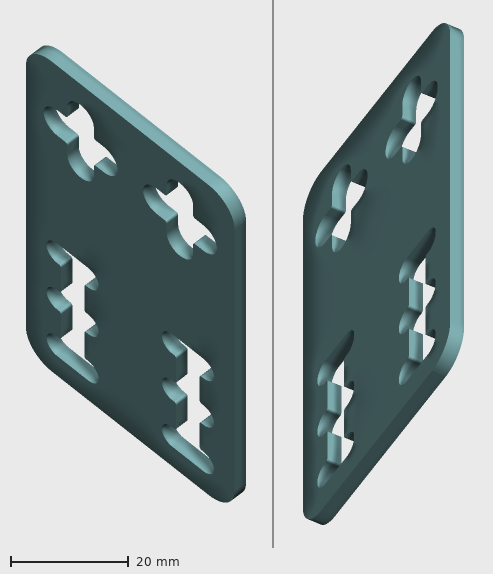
import cadquery as cq

plate_width = 50.8
plate_thickness = 2.7
plate_height = 82.55
plate_corner_radius = 6.3

cross_spacing = 24.2
cross_from_top = 15.2
cross_arm_length = 18.0
cross_arm_height = 6.8
cross_upright_length = 19.3
cross_upright_width = 6.4

ladder_spacing = 28.1
rung_count = 3
rung_pitch = 12.4
rung_length = 12.7
rung_height = 5.2
lowest_rung_from_bottom = 7.85
neck_width = 5.7

inner_corner_radius = 0.5

cross_z = plate_height / 2 - cross_from_top
ladder_z = -plate_height / 2 + lowest_rung_from_bottom + rung_pitch * (rung_count - 1) / 2
corner_search_size = 0.1


def slot_block(length, width, z=0.0, angle=0.0):
    """Round-ended block through the plate thickness, centred on x = 0."""
    return (
        cq.Workplane("XZ")
        .center(0, z)
        .slot2D(length, width, angle)
        .extrude(plate_thickness / 2, both=True)
    )


def round_inner_corners(opening, corners):
    """Fillet the through-thickness edges of an opening at the given (x, z) corners."""
    half = corner_search_size / 2
    selected = []
    for x, z in corners:
        box = cq.selectors.BoxSelector((x - half, -half, z - half), (x + half, half, z + half))
        selected += opening.edges(box).vals()
    return opening.newObject(selected).fillet(inner_corner_radius)


def cross_opening():
    arms = slot_block(cross_arm_length, cross_arm_height)
    upright = slot_block(cross_upright_length, cross_upright_width, angle=90)
    x = cross_upright_width / 2
    z = cross_arm_height / 2
    corners = [(sx * x, sz * z) for sx in (-1, 1) for sz in (-1, 1)]
    return round_inner_corners(arms.union(upright), corners)


def ladder_opening():
    rung_span = rung_pitch * (rung_count - 1)
    opening = cq.Workplane("XY").box(neck_width, plate_thickness, rung_span)
    corners = []
    for i in range(rung_count):
        z = i * rung_pitch - rung_span / 2
        opening = opening.union(slot_block(rung_length, rung_height, z))
        if i > 0:
            corners += [(side * neck_width / 2, z - rung_height / 2) for side in (-1, 1)]
        if i < rung_count - 1:
            corners += [(side * neck_width / 2, z + rung_height / 2) for side in (-1, 1)]
    return round_inner_corners(opening, corners)


result = (
    cq.Workplane("XY")
    .box(plate_width, plate_thickness, plate_height)
    .edges("|Y")
    .fillet(plate_corner_radius)
)

cross = cross_opening()
ladder = ladder_opening()
for side in (-1, 1):
    result = result.cut(cross.translate((side * cross_spacing / 2, 0, cross_z)))
    result = result.cut(ladder.translate((side * ladder_spacing / 2, 0, ladder_z)))